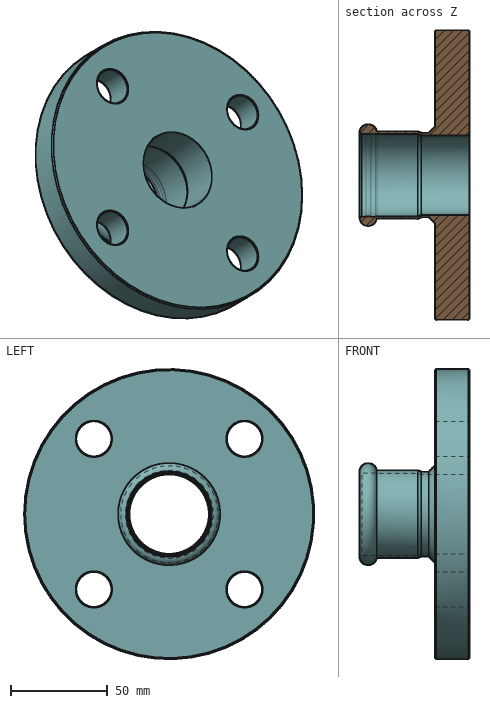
import cadquery as cq
import math

total_length = 57.0
flange_diameter = 150.0
flange_thickness = 18.0
flange_chamfer = 0.8
flange_face = total_length - flange_thickness

wall = 1.5
bore_radius = 41.0 / 2
socket_radius = 42.5 / 2
neck_outer_radius = bore_radius + wall
barrel_outer_radius = socket_radius + wall
step_start = 30.3
step_end = 32.1

weld_length = 3.2

bead_outer_radius = 26.4
bead_width = 9.2
bead_round = bead_width / 2

mouth_radius = 44.2 / 2
lead_in_radius = 42.8 / 2
mouth_depth = 1.2
lead_in_end = 8.2
lead_in_taper = 0.8

seal_width = 2.5
seal_height = 0.22
seal_start = bead_round - seal_width / 2
seal_end = bead_round + seal_width / 2

bolt_hole_diameter = 18.0
bolt_circle_diameter = 110.0
bolt_count = 4
first_bolt_angle = 180 / bolt_count
bolt_hole_chamfer = 0.5


def revolve_about_x(profile):
    return profile.close().revolve(360, (0, 0, 0), (1, 0, 0))


def make_flange():
    face_plane = cq.Workplane("YZ", origin=(flange_face, 0, 0))
    flange = face_plane.circle(flange_diameter / 2).extrude(flange_thickness)
    flange = flange.edges().chamfer(flange_chamfer)
    holes = (
        face_plane
        .polarArray(bolt_circle_diameter / 2, first_bolt_angle, 360, bolt_count)
        .circle(bolt_hole_diameter / 2)
        .extrude(flange_thickness)
    )
    flange = flange.cut(holes)
    hole_edges = cq.selectors.RadiusNthSelector(0)
    return flange.edges("%CIRCLE").edges(hole_edges).chamfer(bolt_hole_chamfer)


def make_tube():
    bead_center_radius = bead_outer_radius - bead_round
    mouth_offset = math.sqrt(bead_round**2 - (mouth_radius - bead_center_radius) ** 2)
    barrel_offset = math.sqrt(bead_round**2 - (barrel_outer_radius - bead_center_radius) ** 2)
    profile = (
        cq.Workplane("XY")
        .moveTo(0, 0)
        .lineTo(0, mouth_radius)
        .lineTo(bead_round - mouth_offset, mouth_radius)
        .threePointArc((bead_round, bead_outer_radius), (bead_round + barrel_offset, barrel_outer_radius))
        .lineTo(step_start, barrel_outer_radius)
        .lineTo(step_end, neck_outer_radius)
        .lineTo(flange_face - weld_length, neck_outer_radius)
        .lineTo(flange_face, neck_outer_radius + weld_length)
        .lineTo(flange_face, 0)
    )
    return revolve_about_x(profile)


def make_bore():
    profile = (
        cq.Workplane("XY")
        .moveTo(0, 0)
        .lineTo(0, mouth_radius)
        .lineTo(mouth_depth, lead_in_radius)
        .lineTo(seal_start, lead_in_radius)
        .threePointArc((bead_round, lead_in_radius - seal_height), (seal_end, lead_in_radius))
        .lineTo(lead_in_end, lead_in_radius)
        .lineTo(lead_in_end + lead_in_taper, socket_radius)
        .lineTo(step_start, socket_radius)
        .lineTo(step_end, bore_radius)
        .lineTo(total_length, bore_radius)
        .lineTo(total_length, 0)
    )
    return revolve_about_x(profile)


result = make_tube().union(make_flange()).cut(make_bore())